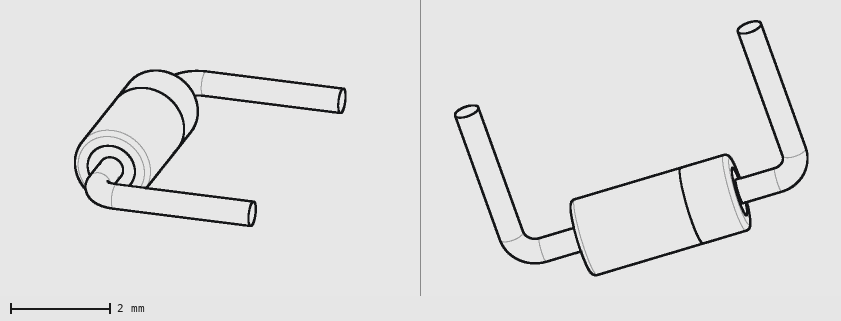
import cadquery as cq

total_length = 6.5
body_diameter = 1.6
body_length = 3.355
leg_reach = 3.4
edge_round = 0.1
band_length = 1.01

wire_diameter = 0.5
bend_radius = wire_diameter
core_diameter = 2 * wire_diameter

body_end = body_length / 2
seam_y = body_end - band_length
leg_y = (total_length - wire_diameter) / 2
bend_start_y = leg_y - bend_radius


def cylinder_along_y(diameter, start_y, end_y):
    """Cylinder on the part axis between two Y positions."""
    plane = cq.Plane(origin=(0, start_y, 0), xDir=(1, 0, 0), normal=(0, 1, 0))
    return cq.Workplane(plane).circle(diameter / 2).extrude(end_y - start_y)


def make_sleeve(start_y, end_y, rounded_end):
    """Tube around the core, with the outer edge of one end rounded."""
    outer = cylinder_along_y(body_diameter, start_y, end_y)
    outer = outer.faces(rounded_end).edges().fillet(edge_round)
    return outer.cut(cylinder_along_y(core_diameter, start_y, end_y))


def make_core():
    """Inner cylinder, flush with both end faces, with a hole for the wire."""
    core = cylinder_along_y(core_diameter, -body_end, body_end)
    return core.cut(cylinder_along_y(wire_diameter, -body_end, body_end))


def make_wire():
    """Straight wire through the core with a leg bent toward +X at each end."""
    path = (
        cq.Workplane("XY")
        .moveTo(leg_reach, -leg_y)
        .lineTo(bend_radius, -leg_y)
        .tangentArcPoint((0, -bend_start_y), relative=False)
        .lineTo(0, bend_start_y)
        .tangentArcPoint((bend_radius, leg_y), relative=False)
        .lineTo(leg_reach, leg_y)
    )
    tip_plane = cq.Plane(origin=(leg_reach, -leg_y, 0), xDir=(0, 1, 0), normal=(-1, 0, 0))
    return cq.Workplane(tip_plane).circle(wire_diameter / 2).sweep(path)


body = make_sleeve(-body_end, seam_y, "<Y")
band = make_sleeve(seam_y, body_end, ">Y")
core = make_core()
wire = make_wire()

result = cq.Compound.makeCompound([part.solids().val() for part in (body, band, core, wire)])